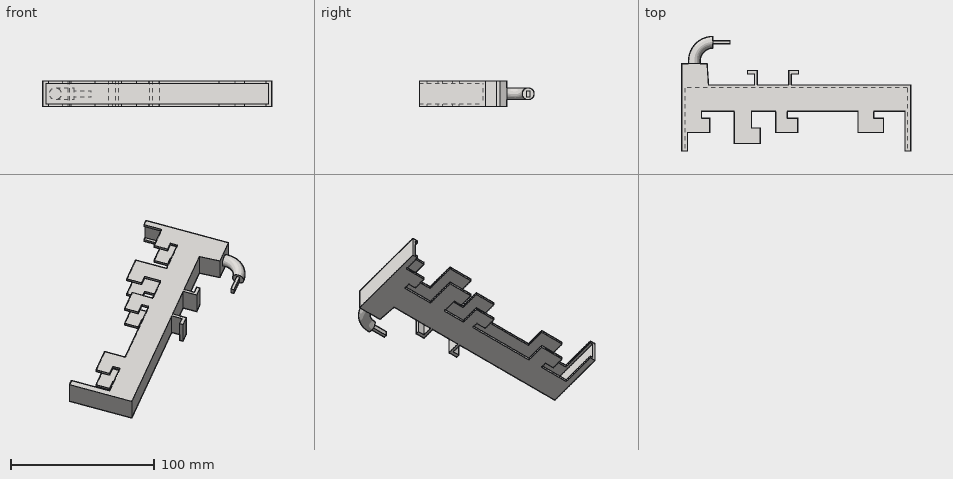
import cadquery as cq

length = 160.0
height = 18.0
wall = 2.0
end_wall = 2.2
leg_width = 4.2
top_front_edge = 28.2
bottom_front_edge = 27.7
back_edge = 46.2

block_back = 61.1
block_top_width = 18.0
block_base_width = 18.9

left_tab = (14.0, 19.8, 13.0, 23.0)

free_tabs = [
    (36.6, 48.8, 55.0, 5.3, 16.3),
    (65.6, 73.8, 81.1, 13.0, 23.0),
    (123.0, 134.0, 141.0, 13.0, 23.0),
]

snap_back = 56.3
snap_thickness = 2.0
snap_lip_thickness = 2.5
snap_lip_reach = 6.9
snaps = [(52.8, -1), (74.7, 1)]

cable_diameter = 8.3
cable_x = 9.0
cable_straight = 2.0
bend_radius = 13.0
wire_end = 34.0
wire_thickness = 2.2
wire_height = 4.2
mid_height = height / 2


def box(x0, x1, y0, y1, z0, z1):
    """Box between two opposite corners."""
    return cq.Workplane("XY").box(x1 - x0, y1 - y0, z1 - z0, centered=False).translate((x0, y0, z0))


def plate_outline(front_edge):
    """Plan outline with legs and tabs; front_edge is the edge between the tabs."""
    stem_right, hook_right, tab_front, hook_back = left_tab
    points = [
        (0, 0),
        (leg_width, 0),
        (leg_width, tab_front),
        (hook_right, tab_front),
        (hook_right, hook_back),
        (stem_right, hook_back),
        (stem_right, front_edge),
    ]
    for stem_left, stem_right, hook_right, tab_front, hook_back in free_tabs:
        points += [
            (stem_left, front_edge),
            (stem_left, tab_front),
            (hook_right, tab_front),
            (hook_right, hook_back),
            (stem_right, hook_back),
            (stem_right, front_edge),
        ]
    points += [
        (length - leg_width, front_edge),
        (length - leg_width, 0),
        (length, 0),
        (length, back_edge),
        (block_base_width, back_edge),
        (block_top_width, block_back),
        (0, block_back),
    ]
    return points


def housing():
    """Two plates joined by end and back walls, open at the front, with a solid cable block."""
    body = cq.Workplane("XY").polyline(plate_outline(top_front_edge)).close().extrude(height)
    bottom_plate = cq.Workplane("XY").polyline(plate_outline(bottom_front_edge)).close().extrude(wall)
    cavity = box(end_wall, length - end_wall, 0, back_edge - wall, wall, height - wall)
    return body.cut(cavity).union(bottom_plate)


def snap_hook(inner_x, direction):
    """Full-height arm with a lip pointing sideways at its end."""
    arm_x = sorted((inner_x, inner_x + direction * snap_thickness))
    lip_x = sorted((inner_x, inner_x + direction * snap_lip_reach))
    arm = box(*arm_x, back_edge - wall, snap_back, 0, height)
    lip = box(*lip_x, snap_back - snap_lip_thickness, snap_back, 0, height)
    return arm.union(lip)


def cable():
    """Round cable turning from +Y to +X, ending in a flat wire."""
    bend_start = block_back + cable_straight
    bend_x = cable_x + bend_radius
    section = cq.Workplane("XZ", origin=(cable_x, block_back - wall, mid_height)).circle(cable_diameter / 2)
    straight = section.extrude(-(wall + cable_straight))
    bend = (
        cq.Workplane("XZ", origin=(cable_x, bend_start, mid_height))
        .circle(cable_diameter / 2)
        .revolve(90, (bend_radius, 1.6), (bend_radius, 0))
    )
    wire = box(
        bend_x - wall,
        wire_end,
        bend_start + bend_radius - wire_thickness / 2,
        bend_start + bend_radius + wire_thickness / 2,
        mid_height - wire_height / 2,
        mid_height + wire_height / 2,
    )
    return straight.union(bend).union(wire)


result = housing().union(cable())
for inner_x, direction in snaps:
    result = result.union(snap_hook(inner_x, direction))